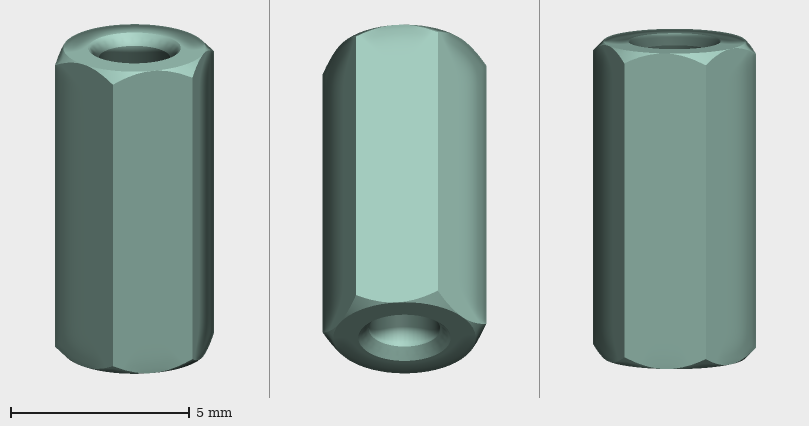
import cadquery as cq
import math

LENGTH = 9.0
ACROSS_FLATS = 4.0
BORE_DIAMETER = 2.01
COUNTERSINK_DIAMETER = 2.6
CHAMFER_ANGLE = 45.0
COUNTERSINK_ANGLE = 45.0

ACROSS_CORNERS = ACROSS_FLATS / math.cos(math.radians(30))
FLAT_RADIUS = ACROSS_FLATS / 2
CORNER_RADIUS = ACROSS_CORNERS / 2
CHAMFER_DROP = (CORNER_RADIUS - FLAT_RADIUS) * math.tan(math.radians(CHAMFER_ANGLE))

BORE_RADIUS = BORE_DIAMETER / 2
COUNTERSINK_RADIUS = COUNTERSINK_DIAMETER / 2
COUNTERSINK_DEPTH = (COUNTERSINK_RADIUS - BORE_RADIUS) * math.tan(math.radians(COUNTERSINK_ANGLE))


def hex_bar():
    """Hexagonal prism with two corners on the X axis."""
    return cq.Workplane("XY").polygon(6, ACROSS_CORNERS).extrude(LENGTH)


def turned_envelope():
    """Tube that chamfers the hexagon corners and carries the countersunk bore."""
    half_section = [
        (BORE_RADIUS, COUNTERSINK_DEPTH),
        (COUNTERSINK_RADIUS, 0),
        (FLAT_RADIUS, 0),
        (CORNER_RADIUS, CHAMFER_DROP),
        (CORNER_RADIUS, LENGTH - CHAMFER_DROP),
        (FLAT_RADIUS, LENGTH),
        (COUNTERSINK_RADIUS, LENGTH),
        (BORE_RADIUS, LENGTH - COUNTERSINK_DEPTH),
    ]
    return cq.Workplane("XZ").polyline(half_section).close().revolve(360, (0, 0), (0, 1))


result = hex_bar().intersect(turned_envelope())